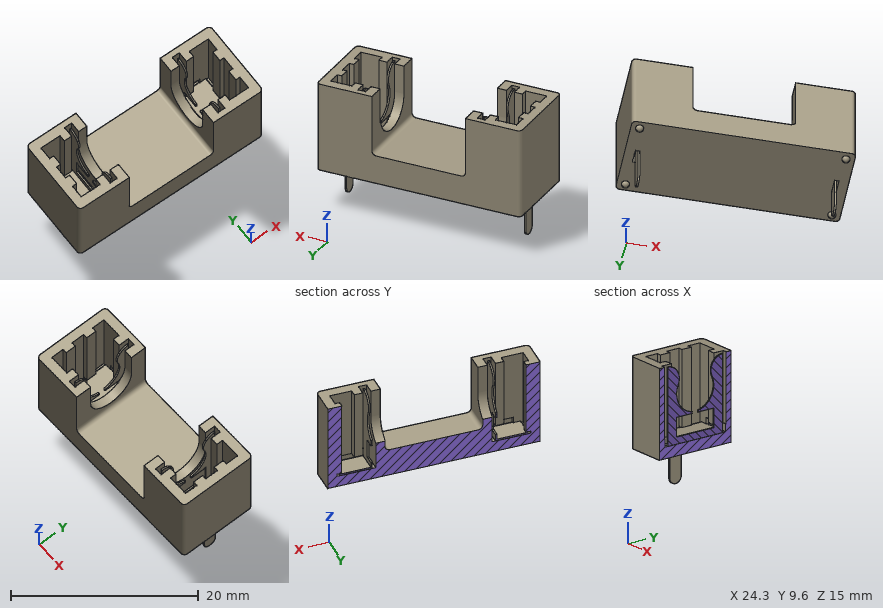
import cadquery as cq
import math

LENGTH = 24.3
WIDTH = 9.6
HEIGHT = 10.4
CORNER_RADIUS = 0.49
TOWER_LENGTH = 6.59
BRIDGE_HEIGHT = 3.33
BRIDGE_FILLET = 0.5
OVERCUT = 1.22

FLOOR_HEIGHT = 1.39
END_WALL = 1.1
POCKET_END_DEPTH = 3.6
POCKET_HALF_WIDTH = 3.62
SLOT_START_DEPTH = 4.57
SLOT_END_DEPTH = 5.5
SLOT_HALF_WIDTH = 4.1
UNDERCUT_START_DEPTH = 2.19
UNDERCUT_HEIGHT = 0.87
UNDERCUT_HALF_WIDTH = 4.03
RIB_DEPTH = 0.53
RIB_INNER_Y = 0.8
RIB_OUTER_Y = 2.07

CRADLE_RADIUS = 2.85
CRADLE_AXIS_HEIGHT = 7.02

STANDOFF_RADIUS = 0.44
STANDOFF_END_INSET = 0.95
STANDOFF_SIDE_INSET = 0.85

SHEET = 0.2
LEG_DEPTH = 1.39
LEG_HALF_WIDTH = 0.78
LEG_LENGTH = 4.6
BASE_HALF_WIDTH = 3.7
BLADE_DEPTH = 4.93
CLIP_RADIUS = 2.45
LEAD_IN_RADIUS = 1.6
PRONG_GAP_HALF_WIDTH = 0.4
WINDOW_HALF_WIDTH = 2.48
WINDOW_BOTTOM = 2.19
WINDOW_TOP = 4.35

BASE_TOP = FLOOR_HEIGHT + SHEET
UNDERCUT_TOP = FLOOR_HEIGHT + UNDERCUT_HEIGHT


def box(x_range, y_range, z_range):
    """A box between the given pairs of limits."""
    (x0, x1), (y0, y1), (z0, z1) = x_range, y_range, z_range
    return cq.Workplane("XY").box(x1 - x0, y1 - y0, z1 - z0, centered=False).translate((x0, y0, z0))


def end_box(depth_range, half_width, z_range):
    """A box in the -X tower, symmetric about Y = 0, placed by depth from the end face."""
    start, end = depth_range
    return box((start - LENGTH / 2, end - LENGTH / 2), (-half_width, half_width), z_range)


def both_ends(shape):
    """The shape made for the -X end, together with its mirror image at the +X end."""
    return [shape, shape.mirror("YZ")]


def housing_block():
    """Rounded block with the wide notch that leaves a tower at each end."""
    block = (
        cq.Workplane("XY")
        .rect(LENGTH, WIDTH)
        .extrude(HEIGHT)
        .edges("|Z")
        .fillet(CORNER_RADIUS)
    )
    notch_half_length = LENGTH / 2 - TOWER_LENGTH
    notch = box(
        (-notch_half_length, notch_half_length),
        (-WIDTH / 2 - OVERCUT, WIDTH / 2 + OVERCUT),
        (BRIDGE_HEIGHT, HEIGHT + OVERCUT),
    )
    return block.cut(notch.edges("|Y and <Z").fillet(BRIDGE_FILLET))


def ribs():
    """Two upright ribs on the end wall, standing on the contact's base."""
    depths = (END_WALL - LENGTH / 2, END_WALL + RIB_DEPTH - LENGTH / 2)
    heights = (BASE_TOP, HEIGHT)
    rib = box(depths, (RIB_INNER_Y, RIB_OUTER_Y), heights)
    return rib.union(rib.mirror("XZ"))


def cradle():
    """U-shaped opening through the tower's inner wall."""
    start = SLOT_END_DEPTH - LENGTH / 2
    end = TOWER_LENGTH - LENGTH / 2 + OVERCUT
    round_part = (
        cq.Workplane("YZ", origin=(start, 0, CRADLE_AXIS_HEIGHT))
        .circle(CRADLE_RADIUS)
        .extrude(end - start)
    )
    straight_part = box(
        (start, end),
        (-CRADLE_RADIUS, CRADLE_RADIUS),
        (CRADLE_AXIS_HEIGHT, HEIGHT + OVERCUT),
    )
    return round_part.union(straight_part)


def tower_cavity():
    """Everything cut out of the -X tower."""
    open_top = (FLOOR_HEIGHT, HEIGHT + OVERCUT)
    pocket = end_box((END_WALL, POCKET_END_DEPTH), POCKET_HALF_WIDTH, open_top).cut(ribs())
    neck = end_box((POCKET_END_DEPTH, SLOT_START_DEPTH), CRADLE_RADIUS, open_top)
    slot = end_box(
        (SLOT_START_DEPTH, SLOT_END_DEPTH),
        SLOT_HALF_WIDTH,
        (UNDERCUT_TOP, HEIGHT + OVERCUT),
    )
    undercut = end_box(
        (UNDERCUT_START_DEPTH, SLOT_END_DEPTH),
        UNDERCUT_HALF_WIDTH,
        (FLOOR_HEIGHT, UNDERCUT_TOP),
    )
    leg_hole = end_box((END_WALL, LEG_DEPTH + SHEET), RIB_INNER_Y, (-OVERCUT, FLOOR_HEIGHT))
    return pocket.union(neck).union(slot).union(undercut).union(leg_hole).union(cradle())


def standoffs():
    """Four half-round feet under the corners."""
    spacing_x = LENGTH - 2 * STANDOFF_END_INSET
    spacing_y = WIDTH - 2 * STANDOFF_SIDE_INSET
    balls = (
        cq.Workplane("XY")
        .rect(spacing_x, spacing_y, forConstruction=True)
        .vertices()
        .sphere(STANDOFF_RADIUS)
    )
    upper_half = box((-LENGTH, LENGTH), (-WIDTH, WIDTH), (0, HEIGHT))
    return balls.cut(upper_half)


def make_housing():
    housing = housing_block()
    for cavity in both_ends(tower_cavity()):
        housing = housing.cut(cavity)
    return housing.union(standoffs())


def contact_leg():
    """Solder leg with a fully rounded tip."""
    leg_x = LEG_DEPTH - LENGTH / 2
    return (
        cq.Workplane("YZ", origin=(leg_x, 0, 0))
        .moveTo(-LEG_HALF_WIDTH, BASE_TOP)
        .lineTo(-LEG_HALF_WIDTH, LEG_HALF_WIDTH - LEG_LENGTH)
        .threePointArc((0, -LEG_LENGTH), (LEG_HALF_WIDTH, LEG_HALF_WIDTH - LEG_LENGTH))
        .lineTo(LEG_HALF_WIDTH, BASE_TOP)
        .close()
        .extrude(SHEET)
    )


def contact_base():
    """Flat base on the cavity floor, wider where the undercut makes room for it."""
    layer = (FLOOR_HEIGHT, BASE_TOP)
    narrow = end_box((LEG_DEPTH, UNDERCUT_START_DEPTH), POCKET_HALF_WIDTH, layer)
    wide = end_box((UNDERCUT_START_DEPTH, BLADE_DEPTH + SHEET), BASE_HALF_WIDTH, layer)
    return narrow.union(wide)


def contact_blade():
    """Upright blade whose two prongs curve around the fuse cap."""
    centre_distance = CLIP_RADIUS + LEAD_IN_RADIUS
    rise = math.sqrt(centre_distance**2 - BASE_HALF_WIDTH**2)
    tip_centre = CRADLE_AXIS_HEIGHT + rise
    tip_top = tip_centre + LEAD_IN_RADIUS
    tangent_y = BASE_HALF_WIDTH * CLIP_RADIUS / centre_distance
    tangent_z = CRADLE_AXIS_HEIGHT + rise * CLIP_RADIUS / centre_distance
    throat_y = BASE_HALF_WIDTH - LEAD_IN_RADIUS
    seat_bottom = CRADLE_AXIS_HEIGHT - CLIP_RADIUS

    blade = (
        cq.Workplane("YZ", origin=(BLADE_DEPTH - LENGTH / 2, 0, 0))
        .moveTo(-BASE_HALF_WIDTH, FLOOR_HEIGHT)
        .lineTo(-BASE_HALF_WIDTH, tip_top)
        .threePointArc((-throat_y, tip_centre), (-tangent_y, tangent_z))
        .threePointArc((0, seat_bottom), (tangent_y, tangent_z))
        .threePointArc((throat_y, tip_centre), (BASE_HALF_WIDTH, tip_top))
        .lineTo(BASE_HALF_WIDTH, FLOOR_HEIGHT)
        .close()
        .extrude(SHEET)
    )
    depths = (BLADE_DEPTH, BLADE_DEPTH + SHEET)
    window = end_box(depths, WINDOW_HALF_WIDTH, (WINDOW_BOTTOM, WINDOW_TOP))
    prong_gap = end_box(depths, PRONG_GAP_HALF_WIDTH, (WINDOW_BOTTOM, CRADLE_AXIS_HEIGHT))
    return blade.cut(window).cut(prong_gap)


def make_contact():
    return contact_leg().union(contact_base()).union(contact_blade())


housing = make_housing()
contacts = both_ends(make_contact())

result = cq.Compound.makeCompound(
    [housing.solids().val(), *[contact.solids().val() for contact in contacts]]
)